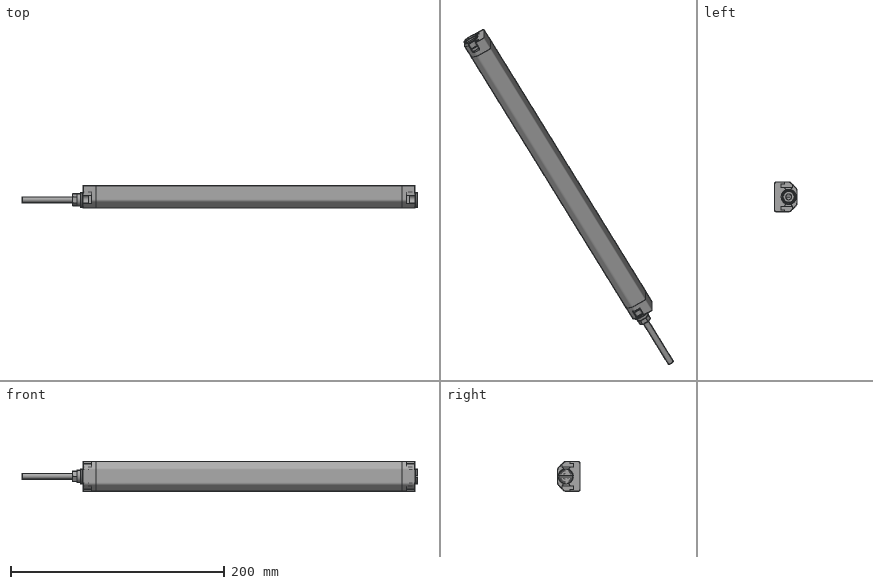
import cadquery as cq
import math


total_length = 370.5
near_flange_thickness = 2.5
far_flange_thickness = 2.2
cap_length = 12.2
nut_start = 47.0
nut_end = 51.5
collar_end = 54.5
housing_start = collar_end + near_flange_thickness
housing_end = total_length - far_flange_thickness

housing_depth = 21.0
housing_height = 28.0
half_height = housing_height / 2
front_y = -7.8
back_y = front_y + housing_depth
bevel = 6.5
bevel_round = 3.5
back_round = 2.0
cap_inset = 0.07

slot_length = 7.8
trough_length = 5.2
slot_center_y = 0.5
slot_radius = 3.7
slot_axis_depth = 4.0

undercut_top_depth = 2.0
undercut_bottom_depth = 5.2
undercut_front_y = slot_center_y - slot_radius
undercut_back_y = 7.5

rim_radius = 7.0
rim_thickness = 1.5
neck_radius = 6.3

driver_slot_width = 1.5

cable_radius = 2.78
nut_across_flats = 10.0
nut_chamfer = 0.55
collar_radius = 6.0


def box_between(x_range, y_range, z_range):
    """Axis-aligned box between two limits, in either order, along X, Y and Z."""
    limits = [sorted(pair) for pair in (x_range, y_range, z_range)]
    sizes = [high - low for low, high in limits]
    corner = tuple(low for low, high in limits)
    return cq.Workplane("XY").box(*sizes, centered=False).translate(corner)


def rod(start, end, radius):
    """Cylinder along the cable axis."""
    return cq.Workplane("YZ", origin=(start, 0, 0)).circle(radius).extrude(end - start)


def housing_stretch(start, end, inset=0.0):
    """Stretch of the housing: flat back with rounded edges, front with two softened bevels."""
    outline = [
        (back_y, -half_height),
        (back_y, half_height),
        (front_y + bevel, half_height),
        (front_y, half_height - bevel),
        (front_y, bevel - half_height),
        (front_y + bevel, -half_height),
    ]
    section = cq.Workplane("YZ", origin=(start, 0, 0)).polyline(outline).close()
    if inset:
        section = section.offset2D(-inset, "intersection")
    body = section.extrude(end - start)
    body = body.edges("|X and >Y").fillet(back_round)
    bevel_edges = cq.selectors.BoxSelector(
        (start, front_y - bevel, -housing_height),
        (end, front_y + 2 * bevel, housing_height),
    )
    return body.edges("|X").edges(bevel_edges).fillet(bevel_round)


def mounting_slot(end_x, inward, side):
    """Slot open to a cap's end face and to its top (side 1) or bottom (side -1)."""
    x_range = (end_x, end_x + inward * slot_length)
    outer_z = side * half_height
    axis_z = side * (half_height - slot_axis_depth)
    floor_z = side * (half_height - undercut_bottom_depth)
    mouth = box_between(
        x_range,
        (slot_center_y - slot_radius, slot_center_y + slot_radius),
        (floor_z, outer_z),
    )
    trough = (
        cq.Workplane("YZ", origin=(end_x, slot_center_y, axis_z))
        .circle(slot_radius)
        .extrude(inward * trough_length)
    )
    undercut = box_between(
        x_range,
        (undercut_front_y, undercut_back_y),
        (side * (half_height - undercut_top_depth), floor_z),
    )
    return mouth.union(trough).union(undercut)


def end_flange(face_x, outer_x):
    """Neck standing on a housing end face, with the rim at its outer end."""
    outward = math.copysign(1, outer_x - face_x)
    rim = rod(outer_x - outward * rim_thickness, outer_x, rim_radius)
    return rod(face_x, outer_x, neck_radius).union(rim)


def make_housing():
    near_seam = housing_start + cap_length
    far_seam = housing_end - cap_length
    body = (
        housing_stretch(near_seam, far_seam)
        .union(housing_stretch(housing_start, near_seam, cap_inset))
        .union(housing_stretch(far_seam, housing_end, cap_inset))
    )
    for end_x, inward in ((housing_start, 1), (housing_end, -1)):
        for side in (1, -1):
            body = body.cut(mounting_slot(end_x, inward, side))
    driver_slot = box_between(
        (total_length - rim_thickness, total_length),
        (-rim_radius, rim_radius),
        (-driver_slot_width / 2, driver_slot_width / 2),
    )
    return body.union(end_flange(housing_end, total_length).cut(driver_slot))


def gland_nut():
    """Hexagonal nut with corners toward the front and back, turned down at its cable end."""
    corner_radius = nut_across_flats / 2 / math.cos(math.pi / 6)
    hexagon = (
        cq.Workplane("YZ", origin=(nut_start, 0, 0))
        .polygon(6, 2 * corner_radius)
        .extrude(nut_end - nut_start)
    )
    turned = rod(nut_start, nut_end, corner_radius).faces("<X").chamfer(nut_chamfer)
    return hexagon.intersect(turned)


def make_cable():
    """Cable together with its gland, which seats on the near end face of the housing."""
    return (
        rod(0, nut_end, cable_radius)
        .union(gland_nut())
        .union(rod(nut_end, collar_end, collar_radius))
        .union(end_flange(housing_start, collar_end))
    )


housing = make_housing()
cable = make_cable()

result = cq.Compound.makeCompound([housing.val(), cable.val()])